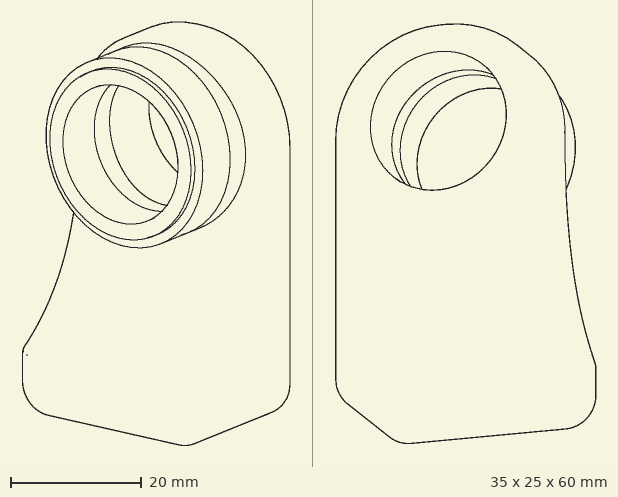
import cadquery as cq


width = 35.0
depth = 25.0
height = 60.0
crown_radius = 17.0
foot_radius = 5.0
back_fillet = 3.0
front_fillet = 2.0
saddle_fillet = 1.5

saddle_foot = (depth, 9.9)
saddle_low_control = (21.3, 13.0)
saddle_high_control = (4.3, 21.8)
saddle_crown = (12.0, height)

bore_height = 44.0
bore_diameter = 22.0
tube_diameter = 30.0
lip_diameter = 27.0
boss_front = 14.0
collar_front = 21.0
lip_front = 22.0
boss_root = 9.0

clearance = 1.0


def bore_cylinder(diameter, back_depth, front_depth):
    """Solid cylinder on the bore axis between two depths."""
    start = cq.Workplane("XZ", origin=(0, -back_depth, bore_height))
    return start.circle(diameter / 2).extrude(front_depth - back_depth)


def make_bore():
    """Cutter for the bore that runs through all the bodies."""
    return bore_cylinder(bore_diameter, -clearance, depth)


def make_saddle_cutter():
    """Everything in front of the saddle curve, wider than the plate."""
    curve = [(-d, z) for d, z in (saddle_foot, saddle_low_control, saddle_high_control, saddle_crown)]
    crown_y = -saddle_crown[0]
    outer_y = -depth - clearance
    outer_z = height + clearance
    return (
        cq.Workplane("YZ", origin=(-width, 0, 0))
        .moveTo(*curve[0])
        .bezier(curve)
        .lineTo(crown_y, outer_z)
        .lineTo(outer_y, outer_z)
        .lineTo(outer_y, saddle_foot[1])
        .close()
        .extrude(2 * width)
    )


def make_plate_blank():
    """Upright block with a round crown, rounded foot and concave front, before it is bored."""
    block = cq.Workplane("XZ", origin=(0, 0, height / 2)).rect(width, height).extrude(depth)
    block = block.edges("|Y and >Z").fillet(crown_radius)
    block = block.edges("|Y and <Z").fillet(foot_radius)
    block = block.faces(">Y").edges().fillet(back_fillet)
    block = block.cut(make_saddle_cutter())
    block = block.faces("<Y").edges().fillet(front_fillet)
    return block.faces("%EXTRUSION").edges().fillet(saddle_fillet)


def make_boss(plate_blank):
    """Tube whose back end is shaped to sit on the saddle and whose front end is flat."""
    return bore_cylinder(tube_diameter, boss_root, boss_front).cut(plate_blank).cut(make_bore())


def make_collar():
    """Ring in front of the boss, with a narrower lip on its front end."""
    ring = bore_cylinder(tube_diameter, boss_front, collar_front)
    lip = bore_cylinder(lip_diameter, collar_front, lip_front)
    return ring.union(lip).cut(make_bore())


plate_blank = make_plate_blank()
plate = plate_blank.cut(make_bore())
boss = make_boss(plate_blank)
collar = make_collar()

result = cq.Compound.makeCompound([plate.solids().val(), boss.solids().val(), collar.solids().val()])